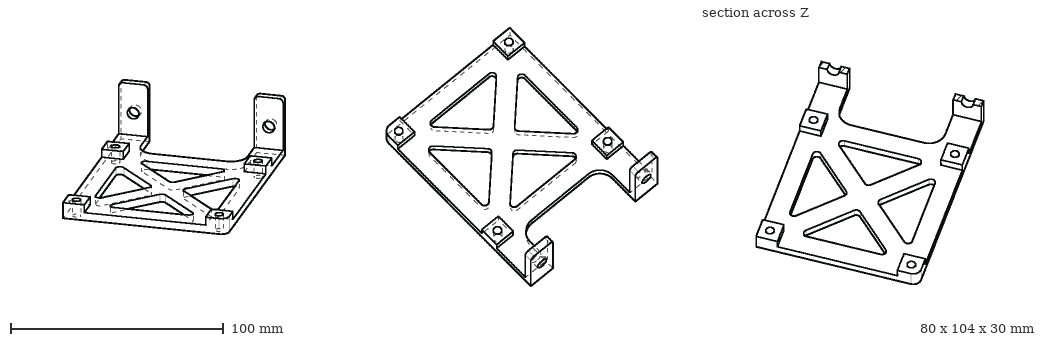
import cadquery as cq

width = 80.0
length = 104.0
height = 30.0
thickness = 4.0

arm_width = 14.0
arm_length = 24.0
notch_radius = 8.0
tab_corner_radius = 2.0
tab_hole_diameter = 5.6
tab_hole_height = 15.0

pad_size = 10.5
pad_top = 2 * thickness
pad_hole_diameter = 4.0
front_corner_radius = 4.0

rim_width = 10.0
brace_width = 10.0
window_radius = 2.0

frame_length = length - arm_length
frame_center_y = frame_length / 2
pad_x = (width - pad_size) / 2
pad_centers = [
    (x, y)
    for x in (-pad_x, pad_x)
    for y in (pad_size / 2, frame_length - pad_size / 2)
]
arm_x = (width - arm_width) / 2


def make_plate():
    """Flat plate with a rounded notch between the rear arms."""
    plate = cq.Workplane("XY").rect(width, length).extrude(thickness)
    plate = plate.translate((0, length / 2, 0))
    notch = (
        cq.Workplane("XY")
        .center(0, frame_length + arm_length)
        .rect(width - 2 * arm_width, 2 * arm_length)
        .extrude(thickness)
        .edges("|Z")
        .fillet(notch_radius)
    )
    return plate.cut(notch)


def make_windows():
    """Four rounded triangles left between the rim and the diagonal braces."""
    windows = (
        cq.Workplane("XY")
        .rect(width - 2 * rim_width, frame_length - 2 * rim_width)
        .extrude(thickness)
    )
    for angle in (45, -45):
        brace = (
            cq.Workplane("XY")
            .rect(2 * width, brace_width)
            .extrude(thickness)
            .rotate((0, 0, 0), (0, 0, 1), angle)
        )
        windows = windows.cut(brace)
    windows = windows.edges("|Z").fillet(window_radius)
    return windows.translate((0, frame_center_y, 0))


def make_tab(x):
    """Upright tab with rounded top corners and a cross hole."""
    tab = (
        cq.Workplane("XZ", origin=(x, length, 0))
        .center(0, height / 2)
        .rect(arm_width, height)
        .extrude(thickness)
        .edges("|Y and >Z")
        .fillet(tab_corner_radius)
    )
    hole = (
        cq.Workplane("XZ", origin=(x, length, tab_hole_height))
        .circle(tab_hole_diameter / 2)
        .extrude(thickness)
    )
    return tab.cut(hole)


pads = cq.Workplane("XY").pushPoints(pad_centers).rect(pad_size, pad_size).extrude(pad_top)
pad_holes = cq.Workplane("XY").pushPoints(pad_centers).circle(pad_hole_diameter / 2).extrude(pad_top)

result = make_plate().cut(make_windows()).union(pads)
for tab_x in (-arm_x, arm_x):
    result = result.union(make_tab(tab_x))

result = result.clean()
front_right_edge = cq.selectors.NearestToPointSelector((width / 2, 0, pad_top / 2))
result = result.edges("|Z").edges(front_right_edge).fillet(front_corner_radius)
result = result.cut(pad_holes)